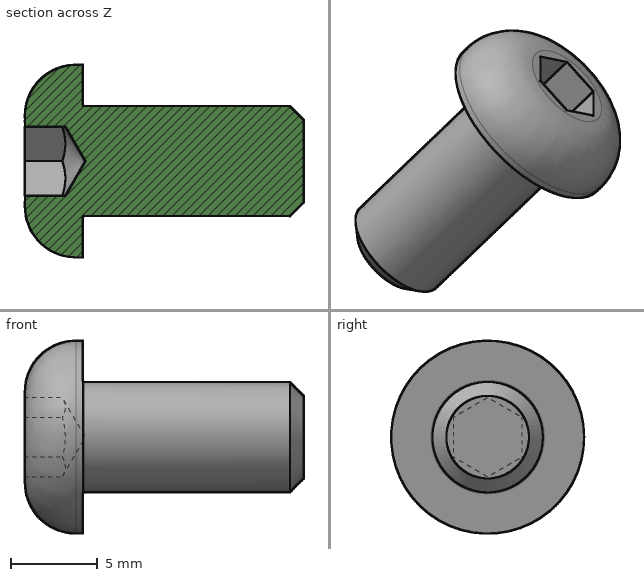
import cadquery as cq
import math

total_length = 16.05
head_diameter = 11.1
head_height = 3.35
rim_height = 0.4
face_diameter = 5.17
shank_diameter = 6.35
tip_chamfer = 0.8
neck_fillet = 0.08
hex_across_flats = 3.95
socket_depth = 2.17
socket_cone_angle = 120.0

head_radius = head_diameter / 2
face_radius = face_diameter / 2
shank_radius = shank_diameter / 2
dome_height = head_height - rim_height
dome_width = head_radius - face_radius
hex_across_corners = hex_across_flats / math.cos(math.pi / 6)


def screw_body():
    """Revolve the half profile of head and shank about the X axis."""
    diagonal = math.sqrt(0.5)
    dome_middle = (dome_height * (1 - diagonal), face_radius + dome_width * diagonal)
    neck_middle = (
        head_height + neck_fillet * (1 - diagonal),
        shank_radius + neck_fillet * (1 - diagonal),
    )
    profile = (
        cq.Workplane("XY")
        .lineTo(0, face_radius)
        .threePointArc(dome_middle, (dome_height, head_radius))
        .lineTo(head_height, head_radius)
        .lineTo(head_height, shank_radius + neck_fillet)
        .threePointArc(neck_middle, (head_height + neck_fillet, shank_radius))
        .lineTo(total_length - tip_chamfer, shank_radius)
        .lineTo(total_length, shank_radius - tip_chamfer)
        .lineTo(total_length, 0)
        .close()
    )
    return profile.revolve(360, (0, 0, 0), (1, 0, 0))


def hex_socket():
    """Hexagonal recess with corners toward +Z and -Z and a conical floor."""
    cone_radius = hex_across_corners / 2
    cone_depth = cone_radius / math.tan(math.radians(socket_cone_angle / 2))
    hexagon = (
        cq.Workplane("YZ")
        .transformed(rotate=(0, 0, 90))
        .polygon(6, hex_across_corners)
        .extrude(socket_depth + cone_depth)
    )
    drill = (
        cq.Workplane("XY")
        .lineTo(0, cone_radius)
        .lineTo(socket_depth, cone_radius)
        .lineTo(socket_depth + cone_depth, 0)
        .close()
        .revolve(360, (0, 0, 0), (1, 0, 0))
    )
    return hexagon.intersect(drill)


result = screw_body().cut(hex_socket())